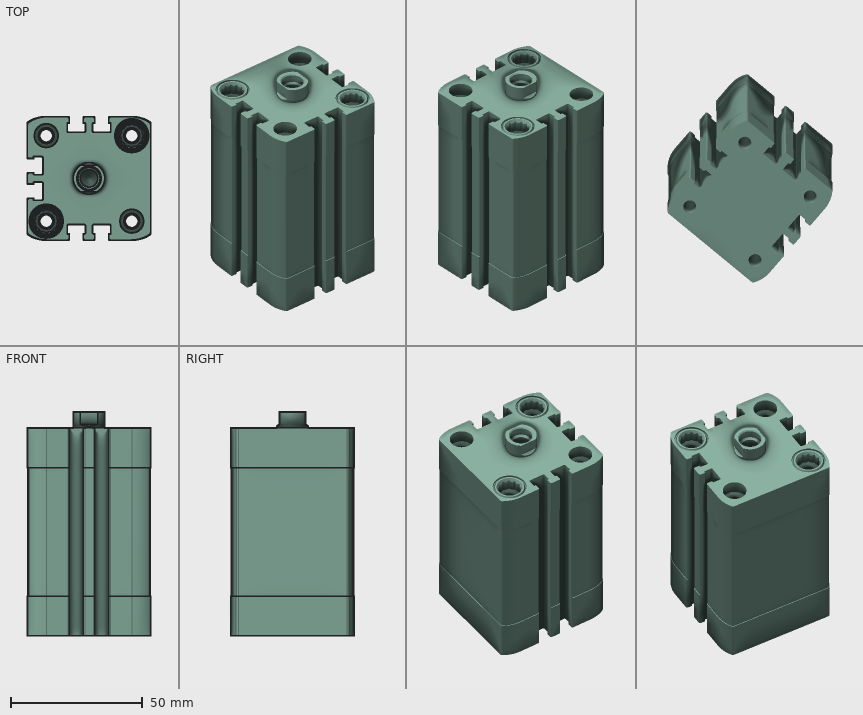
import cadquery as cq
import math

total_height = 85.0
width = 47.0
half_width = width / 2
rod_exposed = 6.0
housing_height = total_height - rod_exposed

cap_height = 15.05
tube_inset = 0.25
corner_arc_radius = 12.4
corner_blend_radius = 1.0
hole_offset = 16.2

web_half_width = 1.4
head_half_width = 2.2
mouth_outer = 7.5
pocket_outer = 8.25
lip_depth = 2.5
slot_depth = 5.95
lip_radius = 0.5
pocket_radius = 0.4
slotted_sides = [0, 90, 180]

through_diameter = 4.9
countersink_diameter = 6.0
counterbore_diameter = 9.0
counterbore_depth = 5.0

ring_recess_diameter = 12.8
ring_ledge_depth = 0.8
ring_diameter = 11.9
ring_groove_depth = 1.0
ring_taper = 0.4
socket_mouth_diameter = 9.95
socket_mouth_angle = 60.0
socket_diameter = 8.4
tooth_groove_count = 12
tooth_groove_depth = 0.3
tooth_groove_width = 1.4

rod_diameter = 12.0
rod_flat_width = 10.0
rod_flat_height = 4.7
flat_shoulder_angle = 35.0
rod_bore_diameter = 8.4
rod_bore_chamfer = 0.4
rod_bore_depth = 3.5
rod_thread_diameter = 6.6
rod_thread_depth = 15.3
rod_step_angle = 30.0
drill_point_angle = 118.0


def plain_section(half, height):
    """Square block with its four corners rounded by wide arcs tangent to the Y faces."""
    arc_center_y = half - corner_arc_radius
    reach = half - hole_offset
    arc_end_y = arc_center_y + math.sqrt(corner_arc_radius**2 - reach**2)
    outline = (
        cq.Workplane("XY")
        .moveTo(-hole_offset, half)
        .lineTo(hole_offset, half)
        .radiusArc((half, arc_end_y), corner_arc_radius)
        .lineTo(half, -arc_end_y)
        .radiusArc((hole_offset, -half), corner_arc_radius)
        .lineTo(-hole_offset, -half)
        .radiusArc((-half, -arc_end_y), corner_arc_radius)
        .lineTo(-half, arc_end_y)
        .radiusArc((-hole_offset, half), corner_arc_radius)
        .close()
    )
    block = outline.extrude(height)
    return block.edges("|Z and (<X or >X)").fillet(corner_blend_radius)


def slot_cutter(half, height):
    """One T-slot on the +Y side, right of the web, with rounded lips at its mouth."""
    lip_y = half_width - lip_depth
    floor_y = half_width - slot_depth
    profile = (
        cq.Workplane("XY")
        .moveTo(head_half_width - lip_radius, half)
        .radiusArc((head_half_width, half - lip_radius), lip_radius)
        .lineTo(head_half_width, lip_y)
        .lineTo(web_half_width + pocket_radius, lip_y)
        .radiusArc((web_half_width, lip_y - pocket_radius), -pocket_radius)
        .lineTo(web_half_width, floor_y + pocket_radius)
        .radiusArc((web_half_width + pocket_radius, floor_y), -pocket_radius)
        .lineTo(pocket_outer - pocket_radius, floor_y)
        .radiusArc((pocket_outer, floor_y + pocket_radius), -pocket_radius)
        .lineTo(pocket_outer, lip_y)
        .lineTo(mouth_outer, lip_y)
        .lineTo(mouth_outer, half - lip_radius)
        .radiusArc((mouth_outer + lip_radius, half), lip_radius)
        .close()
    )
    return profile.extrude(height)


def slotted_section(half, height):
    """Length of profile with a mirrored pair of T-slots on each slotted side."""
    section = plain_section(half, height)
    right_slot = slot_cutter(half, height)
    left_slot = right_slot.mirror("YZ")
    for angle in slotted_sides:
        for slot in (right_slot, left_slot):
            section = section.cut(slot.rotate((0, 0, 0), (0, 0, 1), angle))
    return section


def revolved(points):
    """Solid of revolution about Z from (radius, height) points."""
    return cq.Workplane("XZ").polyline(points).close().revolve(360, (0, 0, 0), (0, 1, 0))


def hole_cutter(mouth_points):
    """Through hole with a countersink at the counterbore floor, below the given mouth profile."""
    through_radius = through_diameter / 2
    countersink_radius = countersink_diameter / 2
    floor_z = housing_height - counterbore_depth
    countersink_end_z = floor_z - (countersink_radius - through_radius)
    return revolved(
        [(0, 0), (through_radius, 0), (through_radius, countersink_end_z), (countersink_radius, floor_z)]
        + mouth_points
        + [(0, housing_height)]
    )


def counterbored_hole():
    radius = counterbore_diameter / 2
    return hole_cutter([(radius, housing_height - counterbore_depth), (radius, housing_height)])


def socket_hole():
    """Toothed socket inside a ring that is set apart by a stepped groove and level with the top face."""
    floor_z = housing_height - counterbore_depth
    socket_radius = socket_diameter / 2
    mouth_radius = socket_mouth_diameter / 2
    ring_radius = ring_diameter / 2
    ledge_z = housing_height - ring_ledge_depth
    recess_radius = ring_recess_diameter / 2
    mouth_drop = (mouth_radius - socket_radius) * math.tan(math.radians(socket_mouth_angle))
    socket_top_z = housing_height - mouth_drop
    cutter = hole_cutter(
        [
            (socket_radius, floor_z),
            (socket_radius, socket_top_z),
            (mouth_radius, housing_height),
            (ring_radius - ring_taper, housing_height),
            (ring_radius, housing_height - ring_groove_depth),
            (ring_radius, ledge_z),
            (recess_radius, ledge_z),
            (recess_radius, housing_height),
        ]
    )
    groove = (
        cq.Workplane("XY", origin=(0, 0, floor_z))
        .polyline(
            [
                (0, -tooth_groove_width / 2),
                (socket_radius, -tooth_groove_width / 2),
                (socket_radius + tooth_groove_depth, 0),
                (socket_radius, tooth_groove_width / 2),
                (0, tooth_groove_width / 2),
            ]
        )
        .close()
        .extrude(housing_height - floor_z)
    )
    for index in range(tooth_groove_count):
        cutter = cutter.union(groove.rotate((0, 0, 0), (0, 0, 1), index * 360 / tooth_groove_count))
    return cutter


def make_housing():
    """Caps and tube joined, with the corner holes and the recess that holds the piston rod."""
    cap = slotted_section(half_width, cap_height)
    tube_height = housing_height - 2 * cap_height
    tube = slotted_section(half_width - tube_inset, tube_height)
    housing = cap.union(tube.translate((0, 0, cap_height)))
    housing = housing.union(cap.translate((0, 0, cap_height + tube_height)))
    plain_hole = counterbored_hole()
    toothed_hole = socket_hole()
    for side in (-1, 1):
        housing = housing.cut(plain_hole.translate((side * hole_offset, -side * hole_offset, 0)))
        housing = housing.cut(toothed_hole.translate((side * hole_offset, side * hole_offset, 0)))
    rod_hole = (
        cq.Workplane("XY", origin=(0, 0, cap_height))
        .circle(rod_diameter / 2)
        .extrude(housing_height - cap_height)
    )
    return housing.cut(rod_hole)


def rod_hole_cutter():
    """Chamfered bore, conical step, and threaded hole with a drill point."""
    bore_radius = rod_bore_diameter / 2
    thread_radius = rod_thread_diameter / 2
    bore_end_z = total_height - rod_bore_depth
    step = (bore_radius - thread_radius) * math.tan(math.radians(rod_step_angle))
    thread_end_z = total_height - rod_thread_depth
    point_height = thread_radius / math.tan(math.radians(drill_point_angle / 2))
    return revolved(
        [
            (0, total_height),
            (bore_radius + rod_bore_chamfer, total_height),
            (bore_radius, total_height - rod_bore_chamfer),
            (bore_radius, bore_end_z),
            (thread_radius, bore_end_z - step),
            (thread_radius, thread_end_z),
            (0, thread_end_z - point_height),
        ]
    )


def make_rod():
    """Round rod with two wrench flats and a stepped threaded hole in its end."""
    radius = rod_diameter / 2
    flat_y = rod_flat_width / 2
    flat_bottom_z = total_height - rod_flat_height
    shoulder_drop = (radius - flat_y) * math.tan(math.radians(flat_shoulder_angle))
    rod = (
        cq.Workplane("XY", origin=(0, 0, cap_height))
        .circle(radius)
        .extrude(total_height - cap_height)
    )
    flat_cutter = (
        cq.Workplane("YZ")
        .polyline(
            [
                (flat_y, total_height),
                (flat_y, flat_bottom_z),
                (radius, flat_bottom_z - shoulder_drop),
                (radius, total_height),
            ]
        )
        .close()
        .extrude(radius, both=True)
    )
    rod = rod.cut(flat_cutter).cut(flat_cutter.mirror("XZ"))
    return rod.cut(rod_hole_cutter())


housing = make_housing()
piston_rod = make_rod()

result = cq.Compound.makeCompound([housing.val(), piston_rod.val()])